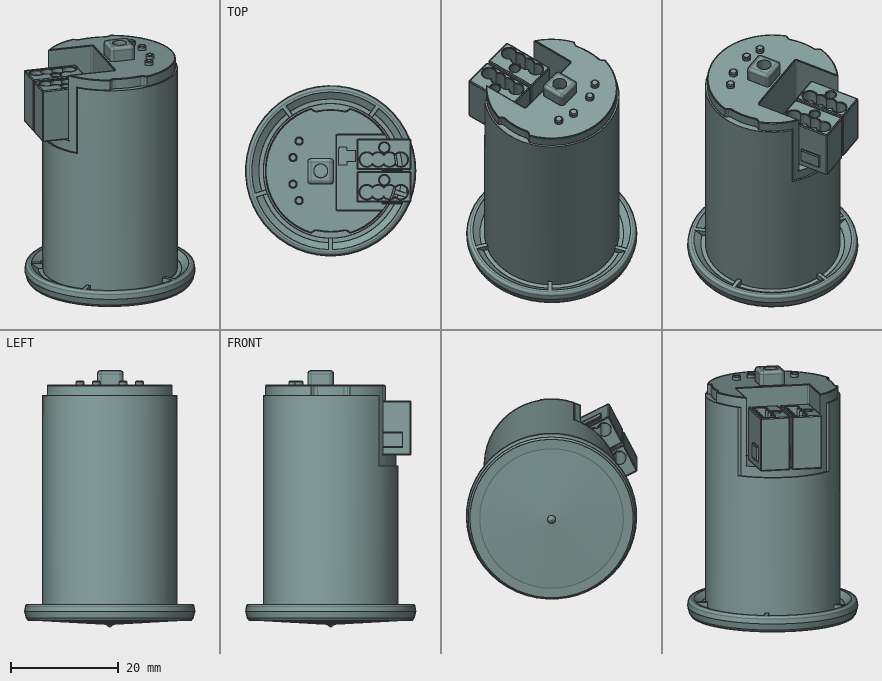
import cadquery as cq
import math

base_z = 1.25
seat_z = 3.25
flange_top_z = 4.25
notch_floor_z = 29.95
slot_floor_z = 31.9
shoulder_z = 42.9
cap_top_z = 44.85
total_height = 47.6

flange_radius = 15.8
flange_widest_z = 2.9
flange_shoulder_radius = 15.65
flange_shoulder_z = 3.8
flange_rim_radius = 15.1
flange_lower_radius = 15.45
flange_lower_z = 1.65
flange_base_radius = 15.15

dome_radius = 13.3
dome_mid_radius = dome_radius / 2
dome_mid_z = 0.85
tip_radius = 0.75
tip_top_z = 0.5

seat_opening_radius = 14.6
seat_floor_radius = 13.3
rib_count = 5
rib_width = 0.75
first_rib_angle = 54.0

housing_diameter = 25.0
housing_radius = housing_diameter / 2
cap_radius = 12.15
cap_chamfer = 0.15
notch_x = 9.0

recess_radius = 11.35
recess_half_width = 3.6
recess_floor_half_width = 2.8
recess_corner_radius = 0.75

slot_x = 1.1
slot_y_low = -7.3
slot_y_high = 6.65
slot_corner_radius = 0.3

pocket_bar_x = 1.47
pocket_bar_width = 1.55
pocket_bar_length = 3.35
pocket_leg_length = 1.5
pocket_leg_width = 2.05
pocket_y = 2.75
pocket_corner_radius = 0.4
pocket_depth = 0.48

post_x = -1.85
post_y = -0.1
post_size = 4.75
post_fillet = 0.6
post_hole_radius = 1.3
post_hole_y = 0.0

pin_radius = 0.75
pin_height = 0.75
pin_chamfer = 0.2
pin_outer_place = (-5.85, 5.5)
pin_inner_place = (-7.0, 2.47)

block_x = 4.85
block_length = 10.05
block_width = 5.65
block_height = 10.1
block_chamfer = 0.2
block_y_lows = (-5.8, 0.25)

hole_chamfer = 0.15
channel_hole_radius = 1.3
channel_hole_count = 4
channel_hole_pitch = 2.1
first_channel_hole_x = 1.85
channel_y = 1.85
release_hole_radius = 0.9
release_hole_x = 5.1
release_hole_y = 4.1

latch_x = 4.65
latch_length = 3.8
latch_thickness = 0.4
latch_z = 1.47
latch_height = 2.85
latch_chamfer = 0.2


def cylinder(radius, z_low, z_high):
    return cq.Workplane("XY").workplane(offset=z_low).circle(radius).extrude(z_high - z_low)


def box(x_low, y_low, z_low, length, width, height):
    return cq.Workplane("XY").box(length, width, height, centered=False).translate((x_low, y_low, z_low))


def make_flange():
    """Flange disc with a rounded rim, a shallow dome below and a pointed tip."""
    profile = (
        cq.Workplane("XZ")
        .moveTo(0, 0)
        .lineTo(tip_radius, tip_top_z)
        .threePointArc((dome_mid_radius, dome_mid_z), (dome_radius, base_z))
        .lineTo(flange_base_radius, base_z)
        .lineTo(flange_lower_radius, flange_lower_z)
        .lineTo(flange_radius, flange_widest_z)
        .lineTo(flange_shoulder_radius, flange_shoulder_z)
        .tangentArcPoint((flange_rim_radius, flange_top_z), relative=False)
        .lineTo(0, flange_top_z)
        .close()
    )
    return profile.revolve(360, (0, 0, 0), (0, 1, 0))


def make_rib(angle):
    rib = box(0, -rib_width / 2, seat_z, seat_opening_radius, rib_width, flange_top_z - seat_z)
    return rib.rotate((0, 0, 0), (0, 0, 1), angle)


def make_bezel():
    """Flange with a tapered recess, and ribs across the gap around the housing."""
    recess = (
        cq.Workplane("XZ")
        .moveTo(0, seat_z)
        .lineTo(seat_floor_radius, seat_z)
        .lineTo(seat_opening_radius, flange_top_z)
        .lineTo(0, flange_top_z)
        .close()
        .revolve(360, (0, 0, 0), (0, 1, 0))
    )
    for index in range(rib_count):
        recess = recess.cut(make_rib(first_rib_angle + index * 360 / rib_count))
    return make_flange().cut(recess).cut(cylinder(housing_radius, seat_z, flange_top_z))


def make_edge_recess():
    """Shallow recess in the +Y rim of the cap, with sloping ends."""
    outer_y = math.sqrt(cap_radius**2 - recess_half_width**2)
    floor_y = math.sqrt(recess_radius**2 - recess_floor_half_width**2)
    return (
        cq.Workplane("XY")
        .workplane(offset=shoulder_z)
        .moveTo(-recess_half_width, outer_y)
        .lineTo(-recess_floor_half_width, floor_y)
        .threePointArc((0, recess_radius), (recess_floor_half_width, floor_y))
        .lineTo(recess_half_width, outer_y)
        .lineTo(recess_half_width, housing_radius)
        .lineTo(-recess_half_width, housing_radius)
        .close()
        .extrude(cap_top_z - shoulder_z)
        .edges("|Z")
        .edges("<Y")
        .fillet(recess_corner_radius)
    )


def make_pocket():
    bar = box(
        pocket_bar_x, pocket_y - pocket_bar_length / 2, slot_floor_z - pocket_depth,
        pocket_bar_width, pocket_bar_length, pocket_depth,
    ).edges("|Z and >Y").fillet(pocket_corner_radius)
    leg = box(
        pocket_bar_x + pocket_bar_width, pocket_y - pocket_leg_width / 2, slot_floor_z - pocket_depth,
        pocket_leg_length, pocket_leg_width, pocket_depth,
    )
    return bar.union(leg)


def make_post():
    height = total_height - cap_top_z
    return (
        box(post_x - post_size / 2, post_y - post_size / 2, cap_top_z, post_size, post_size, height)
        .edges("|Z or >Z")
        .fillet(post_fillet)
    )


def make_pins():
    places = [(x, side * y) for x, y in (pin_outer_place, pin_inner_place) for side in (1, -1)]
    return (
        cq.Workplane("XY")
        .workplane(offset=cap_top_z)
        .pushPoints(places)
        .circle(pin_radius)
        .extrude(pin_height)
        .faces(">Z")
        .chamfer(pin_chamfer)
    )


def make_notch():
    """Shallow cut on the +X side that takes the cylinder down to the cap radius."""
    height = shoulder_z - notch_floor_z
    side = box(notch_x, -housing_radius, notch_floor_z, housing_radius, 2 * housing_radius, height)
    return side.cut(cylinder(cap_radius, notch_floor_z, shoulder_z))


def make_slot():
    return box(
        slot_x, slot_y_low, slot_floor_z,
        housing_radius, slot_y_high - slot_y_low, cap_top_z - slot_floor_z,
    ).edges("|Z and <X").fillet(slot_corner_radius)


def make_housing():
    """Solid cylinder and cap, slotted for the terminal blocks, with the post and pins on top."""
    recess = make_edge_recess()
    body = (
        cylinder(housing_radius, seat_z, shoulder_z)
        .union(cylinder(cap_radius, shoulder_z, cap_top_z))
        .cut(make_notch())
        .cut(recess)
        .cut(recess.mirror("XZ"))
        .cut(make_slot())
        .faces(">Z")
        .chamfer(cap_chamfer)
        .cut(make_pocket())
        .union(make_post())
        .union(make_pins())
    )
    post_hole = cylinder(post_hole_radius, cap_top_z, total_height).translate((post_x, post_hole_y, 0))
    return body.cut(post_hole)


def make_block_hole(radius, x, y):
    """Through hole with a chamfered mouth."""
    mouth = (
        cq.Workplane("XY")
        .workplane(offset=block_height)
        .circle(radius + hole_chamfer)
        .extrude(-hole_chamfer, taper=45)
    )
    return cylinder(radius, 0, block_height).union(mouth).translate((x, y, 0))


def make_terminal_block(y_low):
    """Block with a row of merged holes, a release hole and a latch on its side."""
    latch = box(latch_x, -latch_thickness, latch_z, latch_length, latch_thickness, latch_height)
    latch = latch.edges("|X and <Y").chamfer(latch_chamfer)
    block = (
        box(0, 0, 0, block_length, block_width, block_height)
        .edges()
        .chamfer(block_chamfer)
        .union(latch)
        .cut(make_block_hole(release_hole_radius, release_hole_x, release_hole_y))
    )
    for index in range(channel_hole_count):
        hole_x = first_channel_hole_x + index * channel_hole_pitch
        block = block.cut(make_block_hole(channel_hole_radius, hole_x, channel_y))
    return block.translate((block_x, y_low, slot_floor_z))


bezel = make_bezel()
housing = make_housing()
terminal_blocks = [make_terminal_block(y_low) for y_low in block_y_lows]

result = cq.Compound.makeCompound([
    bezel.val(),
    housing.val(),
    *[block.val() for block in terminal_blocks],
])